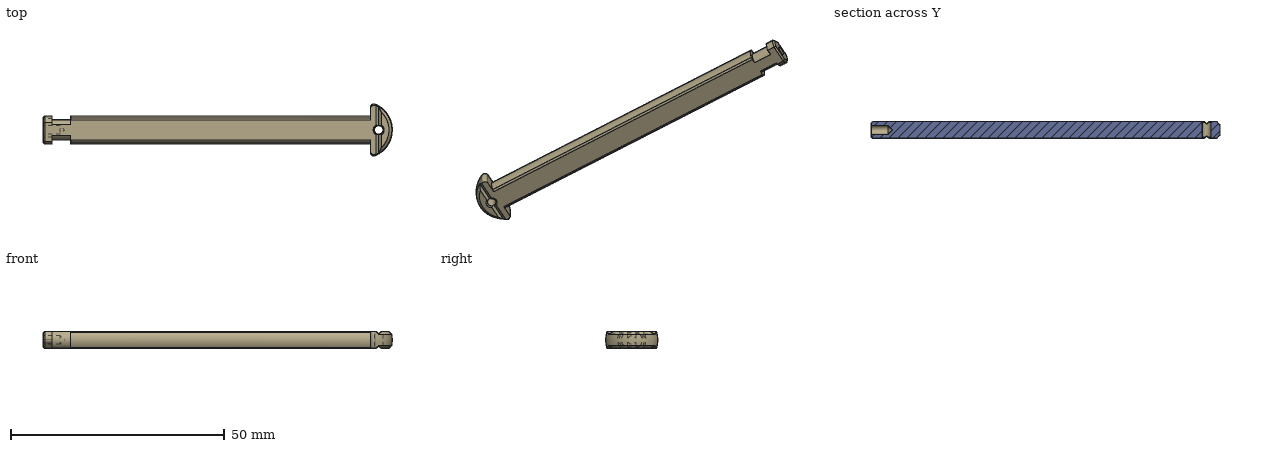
import cadquery as cq
import math

length = 81.88
thickness = 4.0
half_thickness = thickness / 2

knob_length = 2.1
knob_flat_angle = 45
knob_flat_distance = 2.62
knob_chamfer = 0.4
knob_edge_radius = 1.0

neck_radius = 2.4
neck_end = 6.45

shaft_radius = 3.33
shaft_flat_half_width = 2.34
shaft_bevel_half_width = 2.84

hole_diameter = 2.0
hole_radius = hole_diameter / 2
centre_hole_depth = 4.0
drill_point_angle = 90

head_start = 76.74
head_width = 12.25
head_corner_radius = 0.8
head_chamfer_height = 0.7
head_chamfer_width = 0.8

cross_hole_x = 78.67
groove_depth = 0.6
countersink_depth = 0.3


def flat_slab():
    """Slab that limits everything to the part's thickness."""
    return cq.Workplane("XY").box(3 * length, 2 * head_width, thickness)


def polar_point(centre_x, centre_y, radius, angle):
    """Point at a distance and direction (radians) from a centre."""
    return (centre_x + radius * math.cos(angle), centre_y + radius * math.sin(angle))


def bar(radius, start, end):
    """Round bar along X, cut flat at the top and bottom."""
    round_bar = cq.Workplane("YZ").workplane(offset=start).circle(radius).extrude(end - start)
    return round_bar.intersect(flat_slab())


def make_knob():
    """Bar end with two opposite corners cut to slanted flats."""
    knob = bar(shaft_radius, 0, knob_length)
    diagonal_limits = (
        cq.Workplane("XY")
        .box(2 * length, 4 * shaft_radius, 2 * knob_flat_distance)
        .rotate((0, 0, 0), (1, 0, 0), -knob_flat_angle)
    )
    knob = knob.intersect(diagonal_limits)
    lower_corner = cq.selectors.NearestToPointSelector((knob_length / 2, -shaft_radius, 0))
    upper_corner = cq.selectors.NearestToPointSelector((knob_length / 2, shaft_radius, 0))
    knob = knob.edges(lower_corner + upper_corner).fillet(knob_edge_radius)
    return knob.faces("<X").chamfer(knob_chamfer)


def make_shaft():
    bevel_z = math.sqrt(shaft_radius**2 - shaft_bevel_half_width**2)
    return (
        cq.Workplane("YZ")
        .workplane(offset=neck_end)
        .moveTo(-shaft_flat_half_width, half_thickness)
        .lineTo(shaft_flat_half_width, half_thickness)
        .lineTo(shaft_bevel_half_width, bevel_z)
        .threePointArc((shaft_radius, 0), (shaft_bevel_half_width, -bevel_z))
        .lineTo(shaft_flat_half_width, -half_thickness)
        .lineTo(-shaft_flat_half_width, -half_thickness)
        .lineTo(-shaft_bevel_half_width, -bevel_z)
        .threePointArc((-shaft_radius, 0), (-shaft_bevel_half_width, bevel_z))
        .close()
        .extrude(head_start - neck_end)
    )


def make_head():
    """Slice of a ball: the corner round runs smoothly into the crown arc, all turned about X."""
    r = head_corner_radius
    corner_x = head_start + r
    corner_y = head_width / 2 - r
    reach = length - corner_x
    crown_radius = (reach**2 + corner_y**2 - r**2) / (2 * (reach - r))
    crown_x = length - crown_radius
    tangent_angle = math.atan2(corner_y, corner_x - crown_x)
    tangent_point = polar_point(crown_x, 0, crown_radius, tangent_angle)
    crown_middle = polar_point(crown_x, 0, crown_radius, tangent_angle / 2)
    round_middle = polar_point(corner_x, corner_y, r, (tangent_angle + math.pi) / 2)
    ball = (
        cq.Workplane("XY")
        .moveTo(head_start, 0)
        .lineTo(head_start, corner_y)
        .threePointArc(round_middle, tangent_point)
        .threePointArc(crown_middle, (length, 0))
        .close()
        .revolve(360, (0, 0, 0), (1, 0, 0))
    )
    plate = ball.intersect(flat_slab())

    rim_z = half_thickness - head_chamfer_height
    top_radius = crown_radius - head_chamfer_width
    rim_radius = math.sqrt(crown_radius**2 - rim_z**2)
    bevelled_disc = (
        cq.Workplane("XZ")
        .moveTo(0, -half_thickness)
        .lineTo(top_radius, -half_thickness)
        .lineTo(rim_radius, -rim_z)
        .threePointArc((crown_radius, 0), (rim_radius, rim_z))
        .lineTo(top_radius, half_thickness)
        .lineTo(0, half_thickness)
        .close()
        .revolve(360, (0, 0, 0), (0, 1, 0))
        .translate((crown_x, 0, 0))
    )
    crown_side = (
        cq.Workplane("XY")
        .box(length, 2 * head_width, thickness)
        .translate((cross_hole_x + length / 2, 0, 0))
    )
    return plate.cut(crown_side.cut(bevelled_disc))


def v_groove(side):
    """90 degree V groove across the head; side is +1 for the top, -1 for the bottom."""
    surface = side * half_thickness
    return (
        cq.Workplane("XZ")
        .moveTo(cross_hole_x - groove_depth, surface)
        .lineTo(cross_hole_x + groove_depth, surface)
        .lineTo(cross_hole_x, surface - side * groove_depth)
        .close()
        .extrude(head_width, both=True)
    )


def countersink(side):
    surface = cq.Vector(cross_hole_x, 0, side * half_thickness)
    cone = cq.Solid.makeCone(
        hole_radius + countersink_depth, hole_radius, countersink_depth, surface, cq.Vector(0, 0, -side)
    )
    return cq.Workplane(cone)


def cross_hole():
    return cq.Workplane("XY").center(cross_hole_x, 0).circle(hole_radius).extrude(thickness, both=True)


def centre_hole():
    point_length = hole_radius / math.tan(math.radians(drill_point_angle / 2))
    return (
        cq.Workplane("XY")
        .lineTo(0, hole_radius)
        .lineTo(centre_hole_depth, hole_radius)
        .lineTo(centre_hole_depth + point_length, 0)
        .close()
        .revolve(360, (0, 0, 0), (1, 0, 0))
    )


result = make_knob().union(bar(neck_radius, knob_length, neck_end)).union(make_shaft()).union(make_head())
result = result.cut(cross_hole()).cut(centre_hole())
for side in (1, -1):
    result = result.cut(v_groove(side)).cut(countersink(side))